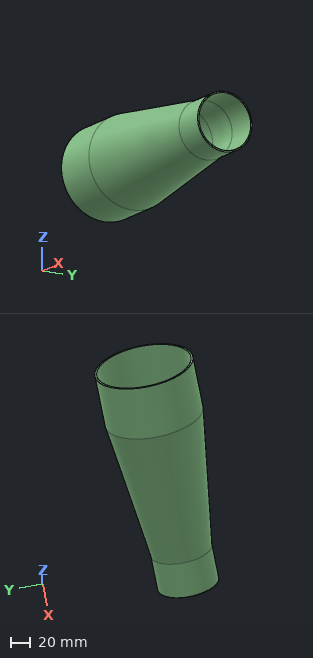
import cadquery as cq

total_length = 247.6
large_outer_diameter = 101.5
large_inner_diameter = 97.3
small_outer_diameter = 63.5
small_inner_diameter = 60.2

large_end_length = 57.0
small_end_length = 38.5
taper_end = total_length - small_end_length
taper_length = taper_end - large_end_length

bore_break_position = large_end_length + taper_length * 2 / 3
bore_break_diameter = 72.3


def revolve_about_axis(diameters_along_x):
    """Solid of revolution about X through (position, diameter) pairs."""
    start = diameters_along_x[0][0]
    end = diameters_along_x[-1][0]
    edge = [(position, diameter / 2) for position, diameter in diameters_along_x]
    profile = cq.Workplane("XY").polyline([(start, 0), *edge, (end, 0)]).close()
    return profile.revolve(360, (0, 0, 0), (1, 0, 0))


outer_body = revolve_about_axis([
    (0, large_outer_diameter),
    (large_end_length, large_outer_diameter),
    (taper_end, small_outer_diameter),
    (total_length, small_outer_diameter),
])

bore = revolve_about_axis([
    (0, large_inner_diameter),
    (large_end_length, large_inner_diameter),
    (bore_break_position, bore_break_diameter),
    (taper_end, small_inner_diameter),
    (total_length, small_inner_diameter),
])

result = outer_body.cut(bore)